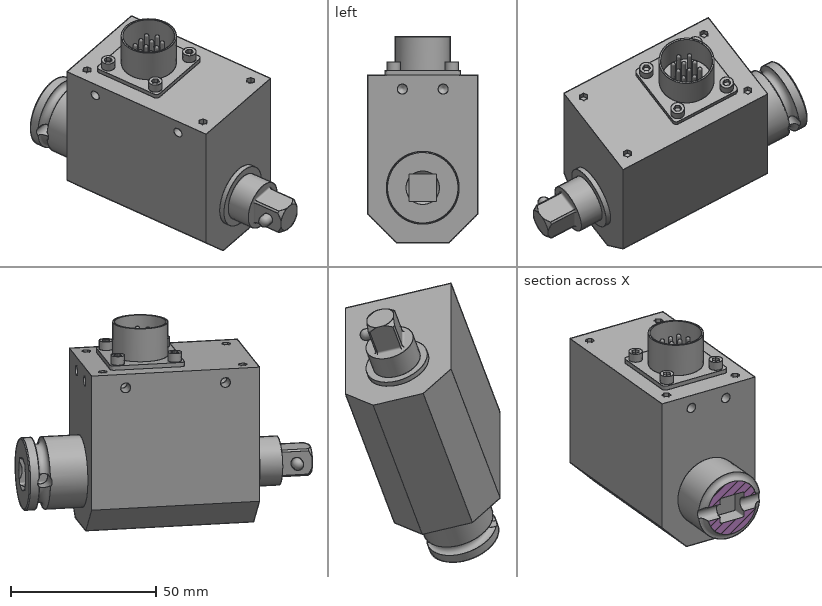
import cadquery as cq
import math


TOTAL_LENGTH = 101.0
HOUSING_START = 20.5
HOUSING_LENGTH = 59.0
HOUSING_WIDTH = 38.0
HOUSING_HEIGHT = 57.8
BOTTOM_CHAMFER = 10.0
HOUSING_END = HOUSING_START + HOUSING_LENGTH
HOUSING_MIDDLE = HOUSING_START + HOUSING_LENGTH / 2
SHAFT_HEIGHT = HOUSING_WIDTH / 2

BLIND_HOLE_DIAMETER = 3.4
BLIND_HOLE_DEPTH = 6.1
DRILL_POINT_ANGLE = 118.0
BLIND_HOLE_HEIGHT = 52.9
FRONT_HOLE_SPACING = 35.0
END_HOLE_SPACING = 14.0

LID_SCREW_DIAMETER = 5.9
LID_SCREW_DEPTH = 3.0
LID_SCREW_INSET = 4.9
LID_KEY_WIDTH = 2.6
LID_KEY_DEPTH = 2.0

COVER_DIAMETER = 27.9
COVER_THICKNESS = 2.0

SOCKET_DIAMETER = 25.0
SOCKET_CHAMFER = 0.4
GROOVE_CENTER = 5.5
GROOVE_WIDTH = 3.8
GROOVE_DEPTH = 2.4
CROSS_HOLE_DIAMETER = 5.0
SQUARE_SIZE = 9.5
SOCKET_DEPTH = 11.1
SOCKET_CORNER_RADIUS = 0.4
LEAD_IN_DIAMETER = 11.5

COLLAR_DIAMETER = 22.0
COLLAR_THICKNESS = 1.8
SHAFT_DIAMETER = 17.0
SHAFT_END = 89.8
SQUARE_EDGE_CHAMFER = 0.6
SQUARE_ROOT_FLARE = 0.7
SELECTION_MARGIN = 0.1
TIP_DIAMETER = 9.8
TIP_TAPER_LENGTH = 2.0
PIN_DIAMETER = 4.0
PIN_POSITION = 95.4
PIN_STRAIGHT_LENGTH = 2.0

CONNECTOR_X = 41.5
CONNECTOR_TOP = 71.0
FLANGE_SIZE = 26.1
FLANGE_THICKNESS = 1.5
FLANGE_CORNER_RADIUS = 1.4
SHELL_DIAMETER = 19.0
SHELL_BORE = 17.8
FLANGE_TOP = HOUSING_HEIGHT + FLANGE_THICKNESS
FLANGE_SCREW_DIAMETER = 4.6
FLANGE_SCREW_HEIGHT = 3.0
FLANGE_SCREW_SPACING = 20.0
FLANGE_KEY_WIDTH = 2.3
FLANGE_KEY_DEPTH = 1.5
CONTACT_DIAMETER = 1.5
CONTACT_PITCH = 3.3
CONTACT_TOP = 68.1
CONTACTS_PER_COLUMN = (3, 4, 3)


def shaft_plane(x):
    """YZ plane at position x, centred on the shaft axis and facing +X."""
    return cq.Workplane("YZ", origin=(x, 0, SHAFT_HEIGHT))


def shaft_cylinder(diameter, start, end):
    return shaft_plane(start).circle(diameter / 2).extrude(end - start)


def shaft_cone(start_diameter, end_diameter, start, end):
    axis = cq.Vector(1, 0, 0)
    base = cq.Vector(start, 0, SHAFT_HEIGHT)
    cone = cq.Solid.makeCone(start_diameter / 2, end_diameter / 2, end - start, base, axis)
    return cq.Workplane(cone)


def blind_hole(mouth, direction):
    """Drilled hole with a conical bottom."""
    radius = BLIND_HOLE_DIAMETER / 2
    point_length = radius / math.tan(math.radians(DRILL_POINT_ANGLE / 2))
    start = cq.Vector(*mouth)
    axis = cq.Vector(*direction)
    drill = cq.Solid.makeCylinder(radius, BLIND_HOLE_DEPTH, start, axis)
    point = cq.Solid.makeCone(radius, 0, point_length, start + axis * BLIND_HOLE_DEPTH, axis)
    return cq.Workplane(drill).union(cq.Workplane(point))


def cap_screw_head(diameter, height, key_width, key_depth, key_angle):
    """Screw head standing on Z = 0 with a hexagonal key recess in its top."""
    across_corners = key_width / math.cos(math.pi / 6)
    key = (
        cq.Workplane("XY", origin=(0, 0, height - key_depth))
        .polygon(6, across_corners)
        .extrude(key_depth)
        .rotate((0, 0, 0), (0, 0, 1), key_angle)
    )
    return cq.Workplane("XY").circle(diameter / 2).extrude(height).cut(key)


def make_housing():
    housing = (
        cq.Workplane("XY", origin=(HOUSING_MIDDLE, 0, 0))
        .box(HOUSING_LENGTH, HOUSING_WIDTH, HOUSING_HEIGHT, centered=(True, True, False))
        .edges("|X and <Z")
        .chamfer(BOTTOM_CHAMFER)
    )
    for side in (-1, 1):
        front_x = HOUSING_MIDDLE + side * FRONT_HOLE_SPACING / 2
        end_y = side * END_HOLE_SPACING / 2
        housing = housing.cut(blind_hole((front_x, -HOUSING_WIDTH / 2, BLIND_HOLE_HEIGHT), (0, 1, 0)))
        housing = housing.cut(blind_hole((HOUSING_START, end_y, BLIND_HOLE_HEIGHT), (1, 0, 0)))
    return housing


def make_socket():
    socket = shaft_cylinder(SOCKET_DIAMETER, 0, HOUSING_START).faces("<X").chamfer(SOCKET_CHAMFER)

    surface = SHAFT_HEIGHT + SOCKET_DIAMETER / 2
    half_width = GROOVE_WIDTH / 2
    flank_end = surface - GROOVE_DEPTH + half_width
    groove = (
        cq.Workplane("XZ")
        .moveTo(GROOVE_CENTER - half_width, surface)
        .lineTo(GROOVE_CENTER - half_width, flank_end)
        .threePointArc((GROOVE_CENTER, surface - GROOVE_DEPTH), (GROOVE_CENTER + half_width, flank_end))
        .lineTo(GROOVE_CENTER + half_width, surface)
        .close()
        .revolve(360, (0, SHAFT_HEIGHT, 0), (1, SHAFT_HEIGHT, 0))
    )
    square_bore = (
        shaft_plane(0)
        .rect(SQUARE_SIZE, SQUARE_SIZE)
        .extrude(SOCKET_DEPTH)
        .edges("|X")
        .fillet(SOCKET_CORNER_RADIUS)
    )
    lead_in_depth = (LEAD_IN_DIAMETER - SQUARE_SIZE) / 2
    lead_in = shaft_cone(LEAD_IN_DIAMETER, SQUARE_SIZE, 0, lead_in_depth)
    cross_hole = (
        cq.Workplane("XZ", origin=(GROOVE_CENTER, 0, SHAFT_HEIGHT))
        .circle(CROSS_HOLE_DIAMETER / 2)
        .extrude(SOCKET_DIAMETER / 2, both=True)
    )
    return socket.cut(groove).cut(square_bore).cut(lead_in).cut(cross_hole)


def make_output_shaft():
    collar_end = HOUSING_END + COLLAR_THICKNESS
    collar = shaft_cylinder(COLLAR_DIAMETER, HOUSING_END, collar_end)
    shaft = shaft_cylinder(SHAFT_DIAMETER, collar_end, SHAFT_END)

    square = (
        shaft_plane(SHAFT_END)
        .rect(SQUARE_SIZE, SQUARE_SIZE)
        .extrude(TOTAL_LENGTH - SHAFT_END)
        .edges("|X")
        .chamfer(SQUARE_EDGE_CHAMFER)
    )
    taper_start = TOTAL_LENGTH - TIP_TAPER_LENGTH
    taper_diameter = TIP_DIAMETER + 2 * TIP_TAPER_LENGTH
    turned_outline = shaft_cylinder(taper_diameter, SHAFT_END, taper_start).union(
        shaft_cone(taper_diameter, TIP_DIAMETER, taper_start, TOTAL_LENGTH)
    )
    square = square.intersect(turned_outline)

    shaft = shaft.union(square)

    root_slice = cq.selectors.BoxSelector(
        (SHAFT_END - SELECTION_MARGIN, -SQUARE_SIZE, SHAFT_HEIGHT - SQUARE_SIZE),
        (SHAFT_END + SELECTION_MARGIN, SQUARE_SIZE, SHAFT_HEIGHT + SQUARE_SIZE),
    )
    shaft = shaft.edges("%LINE").edges(root_slice).fillet(SQUARE_ROOT_FLARE)

    pin_end = -SQUARE_SIZE / 2 - PIN_STRAIGHT_LENGTH
    pin = (
        cq.Workplane("XZ", origin=(PIN_POSITION, 0, SHAFT_HEIGHT))
        .circle(PIN_DIAMETER / 2)
        .extrude(-pin_end)
    )
    pin_tip = cq.Workplane("XY", origin=(PIN_POSITION, pin_end, SHAFT_HEIGHT)).sphere(PIN_DIAMETER / 2)
    return collar.union(shaft).union(pin).union(pin_tip)


def contact_positions():
    """Columns of contacts along Y, each centred on the connector axis."""
    positions = []
    middle_column = (len(CONTACTS_PER_COLUMN) - 1) / 2
    for column, count in enumerate(CONTACTS_PER_COLUMN):
        for row in range(count):
            x = CONNECTOR_X + (column - middle_column) * CONTACT_PITCH
            y = (row - (count - 1) / 2) * CONTACT_PITCH
            positions.append((x, y))
    return positions


def make_connector():
    connector = (
        cq.Workplane("XY", origin=(CONNECTOR_X, 0, HOUSING_HEIGHT))
        .rect(FLANGE_SIZE, FLANGE_SIZE)
        .extrude(FLANGE_THICKNESS)
        .edges("|Z")
        .fillet(FLANGE_CORNER_RADIUS)
    )
    shell = (
        cq.Workplane("XY", origin=(CONNECTOR_X, 0, FLANGE_TOP))
        .circle(SHELL_DIAMETER / 2)
        .circle(SHELL_BORE / 2)
        .extrude(CONNECTOR_TOP - FLANGE_TOP)
    )
    contacts = (
        cq.Workplane("XY", origin=(0, 0, FLANGE_TOP))
        .pushPoints(contact_positions())
        .circle(CONTACT_DIAMETER / 2)
        .extrude(CONTACT_TOP - CONTACT_DIAMETER / 2 - FLANGE_TOP)
    )
    contact_tips = (
        cq.Workplane("XY", origin=(0, 0, CONTACT_TOP - CONTACT_DIAMETER / 2))
        .pushPoints(contact_positions())
        .sphere(CONTACT_DIAMETER / 2)
    )
    connector = connector.union(shell).union(contacts).union(contact_tips)

    screw = cap_screw_head(
        FLANGE_SCREW_DIAMETER, FLANGE_SCREW_HEIGHT, FLANGE_KEY_WIDTH, FLANGE_KEY_DEPTH, key_angle=30
    )
    reach = FLANGE_SCREW_SPACING / 2
    for x_side in (-1, 1):
        for y_side in (-1, 1):
            place = (CONNECTOR_X + x_side * reach, y_side * reach, FLANGE_TOP)
            connector = connector.union(screw.translate(place))
    return connector


def set_flush_cover(part):
    """Bearing cover level with the housing end; its seam stays as an edge."""
    cover_end = HOUSING_START + COVER_THICKNESS
    cover = shaft_cylinder(COVER_DIAMETER, HOUSING_START, cover_end)
    return part.cut(cover).union(cover, clean=False)


def set_flush_screws(part):
    """Screw heads level with the housing top; their seams stay as edges."""
    screw = cap_screw_head(
        LID_SCREW_DIAMETER, LID_SCREW_DEPTH, LID_KEY_WIDTH, LID_KEY_DEPTH, key_angle=0
    )
    x_reach = HOUSING_LENGTH / 2 - LID_SCREW_INSET
    y_reach = HOUSING_WIDTH / 2 - LID_SCREW_INSET
    seat_plane = cq.Workplane("XY", origin=(0, 0, HOUSING_HEIGHT - LID_SCREW_DEPTH))
    for x_side in (-1, 1):
        for y_side in (-1, 1):
            x = HOUSING_MIDDLE + x_side * x_reach
            y = y_side * y_reach
            seat = seat_plane.center(x, y).circle(LID_SCREW_DIAMETER / 2).extrude(LID_SCREW_DEPTH)
            head = screw.translate((x, y, HOUSING_HEIGHT - LID_SCREW_DEPTH))
            part = part.cut(seat, clean=False).union(head, clean=False)
    return part


housing = set_flush_screws(set_flush_cover(make_housing()))
result = housing
for attachment in (make_socket(), make_output_shaft(), make_connector()):
    result = result.union(attachment, clean=False)